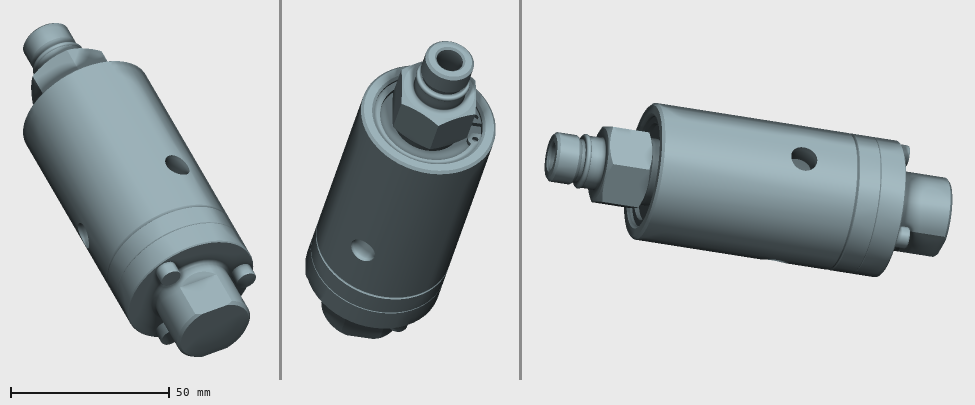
import cadquery as cq
import math

total_length = 128.99
hex_start = 15.6
hex_end = 30.2
body_start = 30.4
body_end = 110.8

spigot_dia = 15.84
spigot_chamfer = 0.85
thread_end = 7.1
relief_taper_end = 8.3
relief_dia = 13.89
collar_start = 9.4
collar_dia = 16.65
collar_root_fillet = 0.35
seal_ring_dia = 17.5
seal_ring_section_dia = 1.7
spigot_bore_dia = 8.5
spigot_bore_mouth_dia = 9.8
spigot_bore_depth = 60.0

hex_across_flats = 24.0
hex_face_dia = 23.0
hex_corner_dia = hex_across_flats / math.cos(math.pi / 6)
hex_bevel_length = 1.35
shaft_dia = 21.4

body_dia = 43.78
body_chamfer = 0.8
flange_chamfer = 0.35
joint_grooves = ((95.15, 0.6, 0.35, 0.5), (102.5, 0.2, 0.2, 0.2))

recess_dia = 35.27
recess_mouth_dia = 36.9
ring_front_depth = 1.6
ring_thickness = 1.5
ring_inner_dia = 31.0
ring_gap = 4.2
lug_hole_y = -15.4
lug_hole_z = 4.5
lug_hole_dia = 1.98
lug_radius = 2.45

port_count = 3
port_dia = 8.6
port_x = 77.05
sleeve_dia = 29.43

boss_dia = 25.4
boss_fillet = 1.1
boss_chamfer = 0.9
flat_across = 22.0
flat_start = 116.4
flat_runout = 2.0

screw_count = 3
screw_dia = 6.86
screw_circle_dia = 35.0
screw_head_height = 4.1
screw_chamfer_length = 0.4
screw_chamfer_height = 0.15


def cylinder(start, end, diameter, y=0, z=0):
    """Solid cylinder parallel to X."""
    return (
        cq.Workplane("YZ", origin=(start, y, z))
        .circle(diameter / 2)
        .extrude(end - start)
    )


def cone(start, end, start_dia, end_dia):
    """Solid frustum on the X axis."""
    outline = [(start, 0), (start, start_dia / 2), (end, end_dia / 2), (end, 0)]
    return cq.Workplane("XY").polyline(outline).close().revolve(360, (0, 0, 0), (1, 0, 0))


def make_spigot():
    tip_radius = spigot_dia / 2
    collar_radius = collar_dia / 2
    seal_radius = seal_ring_section_dia / 2
    seal_x = collar_start + seal_radius
    seal_center_height = seal_ring_dia / 2 - seal_radius
    seal_end = seal_x + math.sqrt(seal_radius**2 - (collar_radius - seal_center_height) ** 2)
    fillet_inset = collar_root_fillet * (1 - math.sqrt(0.5))
    profile = (
        cq.Workplane("XY")
        .moveTo(0, 0)
        .lineTo(0, tip_radius - spigot_chamfer)
        .lineTo(spigot_chamfer, tip_radius)
        .lineTo(thread_end, tip_radius)
        .lineTo(relief_taper_end, relief_dia / 2)
        .lineTo(collar_start, relief_dia / 2)
        .lineTo(collar_start, seal_center_height)
        .threePointArc((seal_x, seal_ring_dia / 2), (seal_end, collar_radius))
        .lineTo(hex_start - collar_root_fillet, collar_radius)
        .threePointArc(
            (hex_start - fillet_inset, collar_radius + fillet_inset),
            (hex_start, collar_radius + collar_root_fillet),
        )
        .lineTo(hex_start, 0)
        .close()
    )
    return profile.revolve(360, (0, 0, 0), (1, 0, 0))


def make_hexagon():
    """Hexagon with corners up and down, bevelled by a cone at each end."""
    prism = (
        cq.Workplane("YZ", origin=(hex_start, 0, 0))
        .polygon(6, hex_corner_dia)
        .extrude(hex_end - hex_start)
        .rotate((0, 0, 0), (1, 0, 0), 90)
    )
    front_bevel_end = hex_start + hex_bevel_length
    rear_bevel_start = hex_end - hex_bevel_length
    envelope = (
        cone(hex_start, front_bevel_end, hex_face_dia, hex_corner_dia)
        .union(cylinder(front_bevel_end, rear_bevel_start, hex_corner_dia))
        .union(cone(rear_bevel_start, hex_end, hex_corner_dia, hex_face_dia))
    )
    return prism.intersect(envelope)


def make_body():
    body = cylinder(body_start, body_end, body_dia)
    body = body.faces("<X").chamfer(body_chamfer)
    body = body.faces(">X").chamfer(flange_chamfer)
    surface = body_dia / 2
    for bottom, width_before, width_after, depth in joint_grooves:
        groove = (
            cq.Workplane("XY")
            .moveTo(bottom - width_before, surface)
            .lineTo(bottom, surface - depth)
            .lineTo(bottom + width_after, surface)
            .close()
            .revolve(360, (0, 0, 0), (1, 0, 0))
        )
        body = body.cut(groove)
    return body


def cut_recess(body):
    ring_back = body_start + ring_front_depth + ring_thickness
    mouth_depth = (recess_mouth_dia - recess_dia) / 2
    body = body.cut(cylinder(body_start, ring_back, recess_dia))
    return body.cut(cone(body_start, body_start + mouth_depth, recess_mouth_dia, recess_dia))


def make_retaining_ring():
    """Open snap ring with two pierced lugs beside a gap on the -Y side."""
    start = body_start + ring_front_depth
    end = start + ring_thickness
    ring = cylinder(start, end, recess_dia).cut(cylinder(start, end, ring_inner_dia))
    for side in (1, -1):
        ring = ring.union(cylinder(start, end, 2 * lug_radius, lug_hole_y, side * lug_hole_z))
    ring = ring.intersect(cylinder(start, end, recess_dia))
    gap = cq.Workplane("XY").box(ring_thickness, recess_dia / 2, ring_gap)
    ring = ring.cut(gap.translate((start + ring_thickness / 2, -recess_dia / 2, 0)))
    for side in (1, -1):
        ring = ring.cut(cylinder(start, end, lug_hole_dia, lug_hole_y, side * lug_hole_z))
    return ring


def cut_ports(body):
    """Radial ports that stop on the round inner sleeve; the first faces -Y."""
    port = (
        cq.Workplane("XZ", origin=(port_x, 0, 0))
        .circle(port_dia / 2)
        .extrude(body_dia)
        .cut(cylinder(port_x - port_dia, port_x + port_dia, sleeve_dia))
    )
    for index in range(port_count):
        body = body.cut(port.rotate((0, 0, 0), (1, 0, 0), index * 360 / port_count))
    return body


def make_boss():
    boss_radius = boss_dia / 2
    fillet_end = body_end + boss_fillet
    arc_offset = boss_fillet * (1 - math.sqrt(0.5))
    boss = (
        cq.Workplane("XY")
        .moveTo(body_end, 0)
        .lineTo(body_end, boss_radius + boss_fillet)
        .threePointArc((body_end + arc_offset, boss_radius + arc_offset), (fillet_end, boss_radius))
        .lineTo(total_length - boss_chamfer, boss_radius)
        .lineTo(total_length, boss_radius - boss_chamfer)
        .lineTo(total_length, 0)
        .close()
        .revolve(360, (0, 0, 0), (1, 0, 0))
    )
    flat_height = flat_across / 2
    flat_cutter = (
        cq.Workplane("XZ")
        .moveTo(flat_start - flat_runout, boss_radius)
        .lineTo(flat_start, flat_height)
        .lineTo(total_length, flat_height)
        .lineTo(total_length, boss_radius)
        .close()
        .extrude(boss_radius, both=True)
    )
    return boss.cut(flat_cutter).cut(flat_cutter.mirror("XY"))


def make_screws():
    top = body_end + screw_head_height
    shoulder = top - screw_chamfer_length
    tip_dia = screw_dia - 2 * screw_chamfer_height
    head = cylinder(body_end, shoulder, screw_dia).union(cone(shoulder, top, screw_dia, tip_dia))
    head = head.translate((0, screw_circle_dia / 2, 0))
    screws = head
    for index in range(1, screw_count):
        screws = screws.union(head.rotate((0, 0, 0), (1, 0, 0), index * 360 / screw_count))
    return screws


def make_spigot_bore():
    mouth_depth = (spigot_bore_mouth_dia - spigot_bore_dia) / 2
    bore = cylinder(0, spigot_bore_depth, spigot_bore_dia)
    return bore.union(cone(0, mouth_depth, spigot_bore_mouth_dia, spigot_bore_dia))


shaft_end = body_start + ring_front_depth + ring_thickness
shaft = cylinder(hex_end, shaft_end, shaft_dia)

result = (
    cut_ports(cut_recess(make_body()))
    .union(make_retaining_ring())
    .union(shaft)
    .union(make_hexagon())
    .union(make_spigot())
    .union(make_boss())
    .union(make_screws())
    .cut(make_spigot_bore())
)